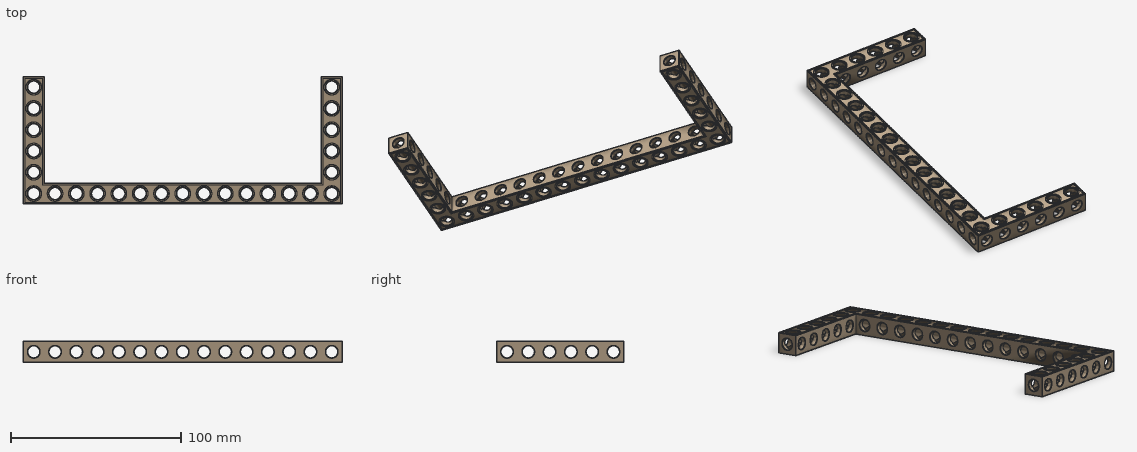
import cadquery as cq

length = 187.5
holes_along_x = 15
holes_along_y = 6
collar_diameter = 9.2
chamfer = 0.3
rim_width = 1.09
recess_depth = 0.2

pitch = length / holes_along_x
beam = pitch
depth = holes_along_y * pitch
hole_diameter = collar_diameter - 2 * rim_width

x_centres = [(i + 0.5) * pitch - length / 2 for i in range(holes_along_x)]
y_centres = [(j + 0.5) * pitch - depth / 2 for j in range(holes_along_y)]
base_row = [(x, y_centres[0]) for x in x_centres]
arm_rows = [(x, y) for x in (x_centres[0], x_centres[-1]) for y in y_centres[1:]]


def u_frame(inset, height):
    """U-shaped plate open toward +Y, its outline moved inward by inset."""
    outer = cq.Workplane("XY").box(length - 2 * inset, depth - 2 * inset, height)
    opening = (
        cq.Workplane("XY")
        .box(length - 2 * (beam - inset), depth, height)
        .translate((0, beam - inset, 0))
    )
    return outer.cut(opening)


def make_body():
    """Frame with chamfered rims and chamfered upright corners."""
    body = u_frame(0, beam)
    outer_corners = body.faces("<X or >X or >Y or <Y").edges("|Z")
    body = outer_corners.chamfer(chamfer)
    return body.faces("|Z").edges().chamfer(chamfer)


def make_recesses():
    """Shallow fields sunk into the top and bottom faces, around the collars."""
    collars = (
        cq.Workplane("XY")
        .pushPoints(base_row + arm_rows)
        .circle(collar_diameter / 2)
        .extrude(beam, both=True)
    )
    core = cq.Workplane("XY").box(length, depth, beam - 2 * recess_depth)
    return u_frame(rim_width, beam).cut(collars).cut(core)


def chamfered_hole(start, direction, span):
    """Bore of the given span from start along direction, flared at both ends."""
    bore_radius = hole_diameter / 2
    mouth_radius = bore_radius + chamfer
    start = cq.Vector(*start)
    direction = cq.Vector(*direction)
    end = start + direction * span
    bore = cq.Solid.makeCylinder(bore_radius, span, start, direction)
    near_flare = cq.Solid.makeCone(mouth_radius, bore_radius, chamfer, start, direction)
    far_flare = cq.Solid.makeCone(mouth_radius, bore_radius, chamfer, end, direction * -1)
    return bore.fuse(near_flare, far_flare)


cutters = []

for x, y in base_row + arm_rows:
    cutters.append(chamfered_hole((x, y, -beam / 2), (0, 0, 1), beam))

for x in x_centres:
    span = depth if x in (x_centres[0], x_centres[-1]) else beam
    cutters.append(chamfered_hole((x, -depth / 2, 0), (0, 1, 0), span))

for y in y_centres:
    if y == y_centres[0]:
        cutters.append(chamfered_hole((-length / 2, y, 0), (1, 0, 0), length))
    else:
        for x in (-length / 2, length / 2 - beam):
            cutters.append(chamfered_hole((x, y, 0), (1, 0, 0), beam))

frame = make_body().cut(make_recesses())
result = cq.Workplane("XY").newObject([frame.val().cut(*cutters)])